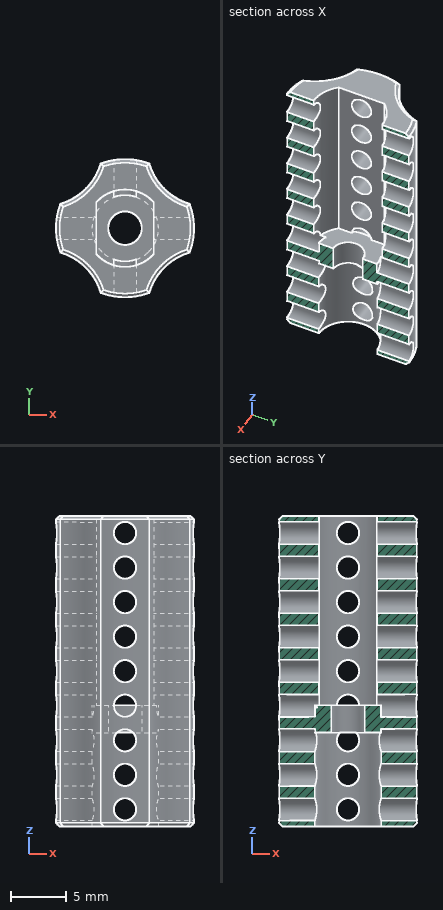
import cadquery as cq
import math

length = 28.12
body_diameter = 12.5
lobe_width = 4.41
flute_bottom_radius = 5.03
lobe_count = 4
end_chamfer = 0.35

side_hole_diameter = 2.0
holes_per_row = 9
hole_pitch = length / holes_per_row

socket_diameter = 7.0
socket_width = 5.2
web_bottom = 8.5
web_top = 11.0
bore_diameter = 6.0
web_hole_diameter = 3.0


def polar(radius, angle):
    return radius * math.cos(angle), radius * math.sin(angle)


def fluted_body():
    radius = body_diameter / 2
    lobe_angle = 2 * math.pi / lobe_count
    half_tip_angle = math.asin(lobe_width / body_diameter)
    outline = cq.Workplane("XY").moveTo(*polar(radius, -half_tip_angle))
    for i in range(lobe_count):
        middle = i * lobe_angle
        tip_end = polar(radius, middle + half_tip_angle)
        next_tip_start = polar(radius, middle + lobe_angle - half_tip_angle)
        flute_middle = polar(flute_bottom_radius, middle + lobe_angle / 2)
        outline = outline.threePointArc(polar(radius, middle), tip_end)
        outline = outline.threePointArc(flute_middle, next_tip_start)
    return outline.close().extrude(length).faces("<Z or >Z").chamfer(end_chamfer)


def cylinder(diameter, bottom, top):
    return cq.Workplane("XY").workplane(offset=bottom).circle(diameter / 2).extrude(top - bottom)


def socket():
    height = length - web_top
    flats = cq.Workplane("XY").workplane(offset=web_top).rect(socket_width, socket_diameter).extrude(height)
    return cylinder(socket_diameter, web_top, length).intersect(flats)


def side_holes():
    row = [(0, (i + 0.5) * hole_pitch) for i in range(holes_per_row)]
    along_y = cq.Workplane("XZ").pushPoints(row).circle(side_hole_diameter / 2)
    along_y = along_y.extrude(body_diameter / 2, both=True)
    along_x = along_y.rotate((0, 0, 0), (0, 0, 1), 90)
    return along_y.union(along_x)


web_core = cylinder(bore_diameter, web_bottom, web_top)

result = (
    fluted_body()
    .cut(socket())
    .cut(cylinder(bore_diameter, 0, web_bottom))
    .cut(side_holes().cut(web_core))
    .cut(cylinder(web_hole_diameter, web_bottom, web_top))
)